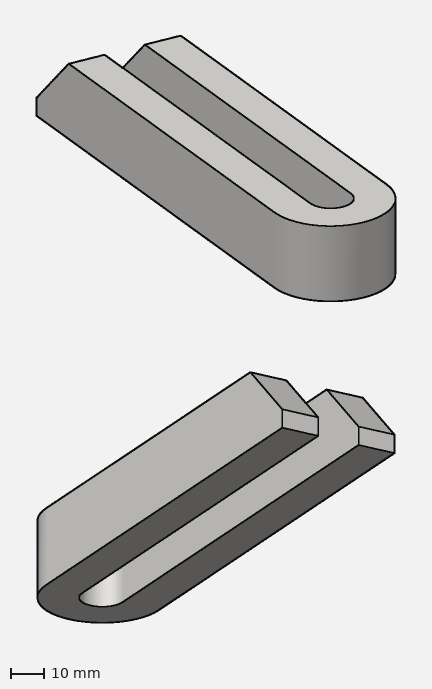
import cadquery as cq

length = 160.0
width = 39.0
height = 25.0
slot_width = 14.0
nose_height = 6.0

nose_run = height - nose_height
outer_radius = width / 2
slot_radius = slot_width / 2
bend_center_x = length - outer_radius


def round_ended_bar(radius):
    """Full-height bar from X = 0, closed by a half round about the bend axis."""
    return (
        cq.Workplane("XY")
        .moveTo(0, -radius)
        .lineTo(bend_center_x, -radius)
        .threePointArc((bend_center_x + radius, 0), (bend_center_x, radius))
        .lineTo(0, radius)
        .close()
        .extrude(height)
    )


def nose_wedge():
    """Triangular wedge removed above the sloped nose, across the full width."""
    return (
        cq.Workplane("XZ")
        .moveTo(0, nose_height)
        .lineTo(nose_run, height)
        .lineTo(0, height)
        .close()
        .extrude(outer_radius, both=True)
    )


result = round_ended_bar(outer_radius).cut(round_ended_bar(slot_radius)).cut(nose_wedge())